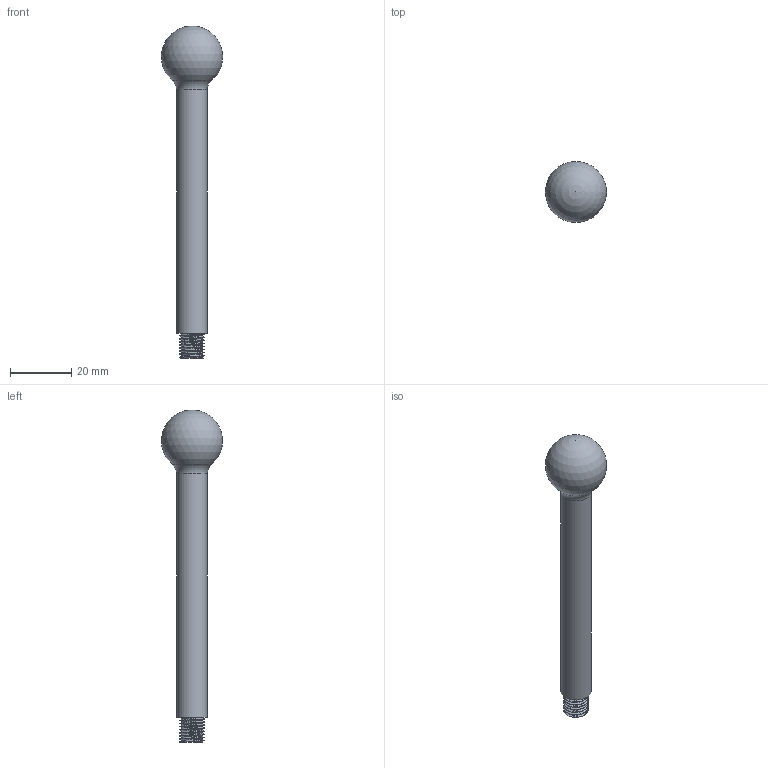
import cadquery as cq
import math

total_height = 108.0
ball_radius = 10.0
rod_radius = 5.0
neck_fillet = 4.0

thread_length = 8.0
thread_pitch = 1.0
major_radius = 7.88 / 2
minor_radius = 6.74 / 2
flank_half_angle = math.radians(30)
crest_width = thread_pitch / 8
ridge_start_z = -1.25 * thread_pitch
ridge_embed = 0.05

ball_center_z = total_height - ball_radius
fillet_center_r = rod_radius + neck_fillet
fillet_center_z = ball_center_z - math.sqrt((ball_radius + neck_fillet) ** 2 - fillet_center_r ** 2)
ball_angle = math.atan2(fillet_center_z - ball_center_z, fillet_center_r)


def polar_point(center_r, center_z, radius, angle):
    """Point on a circle in the (radius, Z) half-plane."""
    return (center_r + radius * math.cos(angle), center_z + radius * math.sin(angle))


def make_rod_and_ball():
    """Revolved rod, neck fillet and ball above the thread."""
    ball_tangent = polar_point(0, ball_center_z, ball_radius, ball_angle)
    fillet_mid_angle = math.pi + ball_angle / 2
    fillet_mid = polar_point(fillet_center_r, fillet_center_z, neck_fillet, fillet_mid_angle)
    return (
        cq.Workplane("XZ")
        .moveTo(0, thread_length)
        .lineTo(rod_radius, thread_length)
        .lineTo(rod_radius, fillet_center_z)
        .threePointArc(fillet_mid, ball_tangent)
        .threePointArc((ball_radius, ball_center_z), (0, total_height))
        .close()
        .revolve(360, (0, 0, 0), (0, 1, 0))
    )


def make_thread():
    """Threaded core: a helical ridge on a cylinder, trimmed flat at both ends."""
    root_radius = minor_radius - ridge_embed
    half_crest = crest_width / 2
    half_root = half_crest + (major_radius - root_radius) * math.tan(flank_half_angle)
    helix_height = thread_length - 2 * ridge_start_z
    helix = cq.Wire.makeHelix(thread_pitch, helix_height, root_radius).translate(cq.Vector(0, 0, ridge_start_z))
    ridge = (
        cq.Workplane("XZ")
        .polyline([
            (root_radius, ridge_start_z - half_root),
            (major_radius, ridge_start_z - half_crest),
            (major_radius, ridge_start_z + half_crest),
            (root_radius, ridge_start_z + half_root),
        ])
        .close()
        .sweep(cq.Workplane(helix), isFrenet=True)
    )
    core = cq.Workplane("XY").circle(minor_radius).extrude(thread_length)
    envelope = cq.Workplane("XY").circle(rod_radius).extrude(thread_length)
    return core.union(ridge.intersect(envelope))


result = make_rod_and_ball().union(make_thread())